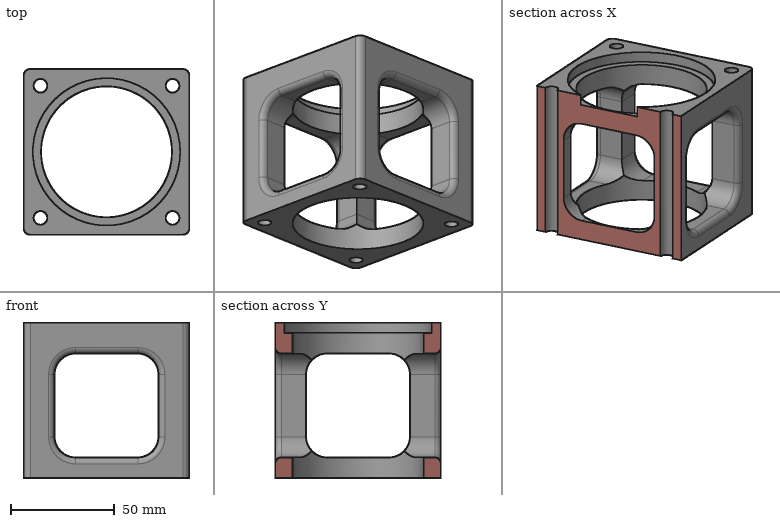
import cadquery as cq

width = 80.0
height = 75.0
corner_radius = 3.3

bore_diameter = 63.0
seat_diameter = 71.0
seat_depth = 5.0

screw_diameter = 6.5
screw_spacing = 63.7

window_size = 50.0
window_corner_radius = 10.0
window_rim_radius = 3.0
window_center_height = height - width / 2


def make_body():
    """Square block with rounded vertical corners, standing on the XY plane."""
    block = cq.Workplane("XY").box(width, width, height, centered=(True, True, False))
    return block.edges("|Z").fillet(corner_radius)


def make_window_cutter(plane_name, axis):
    """Rounded square bar along the given axis, reaching through two opposite walls."""
    bar = (
        cq.Workplane(plane_name, origin=(0, 0, window_center_height))
        .rect(window_size, window_size)
        .extrude(width, both=True)
    )
    return bar.edges("|" + axis).fillet(window_corner_radius)


def round_window_rims(frame):
    """Fillet the outer edges of the window in each of the four side walls."""
    rim_edges = []
    for side in ("<X", ">X", "<Y", ">Y"):
        for rim in frame.faces(side).val().innerWires():
            rim_edges.extend(rim.Edges())
    return frame.newObject(rim_edges).fillet(window_rim_radius)


def cut_bore_and_seat(frame):
    """Open the frame from top to bottom and sink the seat into the top face."""
    bored = frame.faces(">Z").workplane(origin=(0, 0, height)).circle(bore_diameter / 2).cutThruAll()
    return bored.faces(">Z").workplane(origin=(0, 0, height)).circle(seat_diameter / 2).cutBlind(-seat_depth)


def drill_screw_holes(frame):
    """Drill one hole through each corner post."""
    return (
        frame.faces(">Z")
        .workplane(origin=(0, 0, height))
        .rect(screw_spacing, screw_spacing, forConstruction=True)
        .vertices()
        .hole(screw_diameter)
    )


frame = make_body()
for plane_name, axis in (("XZ", "Y"), ("YZ", "X")):
    frame = frame.cut(make_window_cutter(plane_name, axis))
frame = round_window_rims(frame)
frame = cut_bore_and_seat(frame)
result = drill_screw_holes(frame)